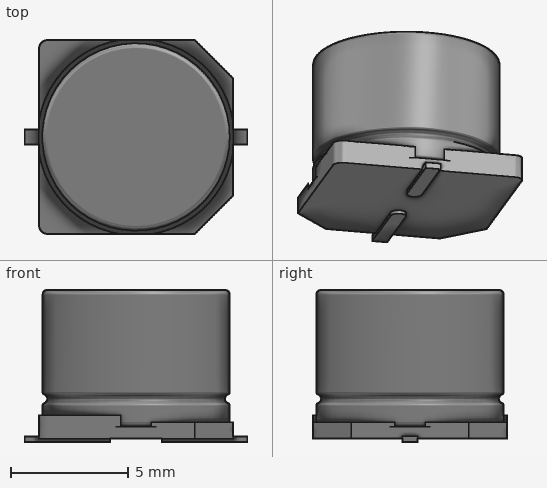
import cadquery as cq
import math


total_height = 6.5
lead_span = 9.5

base_side = 8.3
base_bottom = 0.15
base_height = 1.0
low_side_drop = 0.3
corner_radius = 0.4
corner_chamfer = 1.65

recess_diameter = 8.4
floor_thickness = 0.5
recess_floor = base_bottom + floor_thickness

can_diameter = 8.0
can_radius = can_diameter / 2
can_edge_radius = 0.2
groove_height = 1.85
groove_radius = 0.2
groove_lip_radius = 0.1

lead_width = 0.66
lead_thickness = .25
lead_gap = 2.2


def make_base():
    base = (
        cq.Workplane("XY")
        .workplane(offset=base_bottom)
        .rect(base_side, base_side)
        .extrude(base_height)
    )
    base = base.edges("|Z and <X").fillet(corner_radius)
    base = base.edges("|Z and >X").chamfer(corner_chamfer)

    half_side = base_side / 2
    low_side_cut = (
        cq.Workplane("XY")
        .workplane(offset=base_bottom + base_height - low_side_drop)
        .center(half_side / 2, 0)
        .rect(half_side, base_side)
        .extrude(low_side_drop)
    )
    recess = (
        cq.Workplane("XY")
        .workplane(offset=recess_floor)
        .circle(recess_diameter / 2)
        .extrude(base_height)
    )
    return base.cut(low_side_cut).cut(recess)


def make_can():
    can = (
        cq.Workplane("XY")
        .workplane(offset=recess_floor)
        .circle(can_radius)
        .extrude(total_height - recess_floor)
    )
    return can.faces("<Z or >Z").edges().fillet(can_edge_radius)


def make_groove_cutter():
    """Ring with a round groove bottom whose two lips flare out tangent to the can wall."""
    centre_distance = groove_radius + groove_lip_radius
    lip_offset = math.sqrt(centre_distance**2 - groove_lip_radius**2)
    joint_radius = can_radius - groove_lip_radius * groove_radius / centre_distance
    joint_offset = lip_offset * groove_radius / centre_distance

    lip_angle = math.acos(groove_lip_radius / centre_distance) / 2
    lip_middle_radius = can_radius - groove_lip_radius * (1 - math.cos(lip_angle))
    lip_middle_offset = lip_offset - groove_lip_radius * math.sin(lip_angle)

    return (
        cq.Workplane("XZ")
        .moveTo(can_radius, groove_height - lip_offset)
        .threePointArc(
            (lip_middle_radius, groove_height - lip_middle_offset),
            (joint_radius, groove_height - joint_offset),
        )
        .threePointArc(
            (can_radius - groove_radius, groove_height),
            (joint_radius, groove_height + joint_offset),
        )
        .threePointArc(
            (lip_middle_radius, groove_height + lip_middle_offset),
            (can_radius, groove_height + lip_offset),
        )
        .close()
        .revolve(360, (0, 0, 0), (0, 1, 0))
    )


def make_lead(side):
    """Flat lead with a round inner end; side is -1 or +1 along X."""
    half_width = lead_width / 2
    inner_end = side * lead_gap / 2
    round_start = inner_end + side * half_width
    outer_end = side * lead_span / 2
    return (
        cq.Workplane("XY")
        .moveTo(outer_end, -half_width)
        .lineTo(round_start, -half_width)
        .threePointArc((inner_end, 0), (round_start, half_width))
        .lineTo(outer_end, half_width)
        .close()
        .extrude(lead_thickness)
    )


result = make_base().union(make_can().cut(make_groove_cutter()))
for lead_side in (-1, 1):
    result = result.union(make_lead(lead_side))